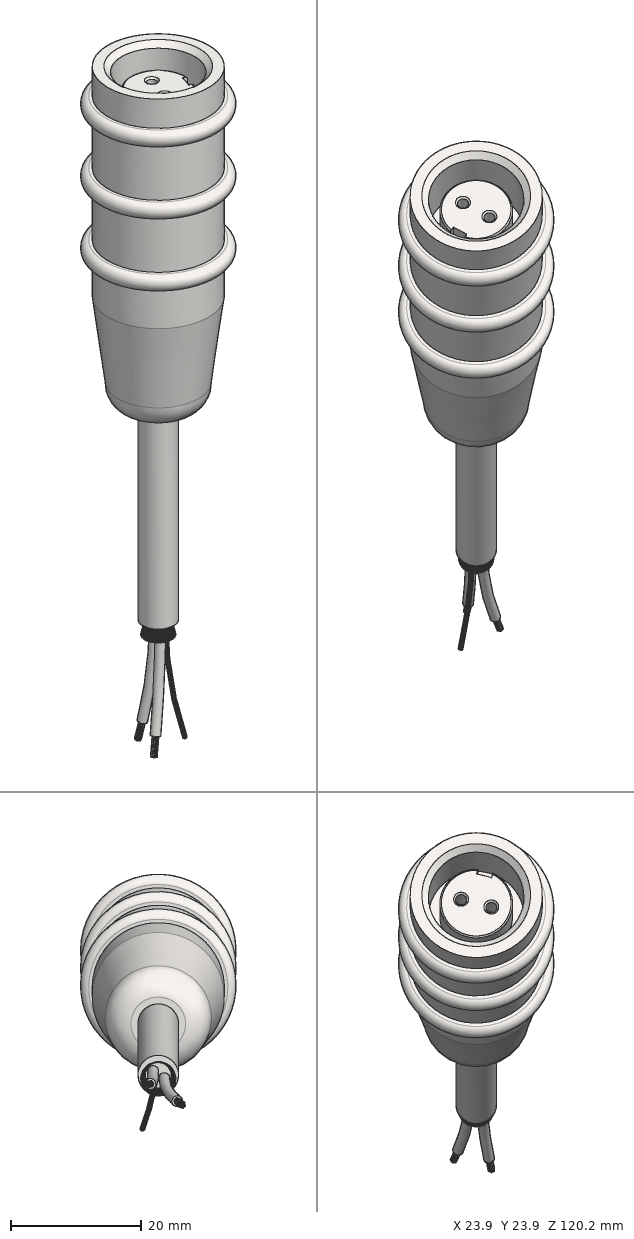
import cadquery as cq
import math

TOP = 120.2

BODY_DIA = 20.3
RING_DIA = 23.9
RING_HEIGHT = 2.9
RING_SIDE_DIA = 21.4
RING_COUNT = 3
RING_PITCH = 12.7
FIRST_RING_DROP = 6.6
TAPER_START_DROP = 40.6
TAPER_END_DROP = 55.8
BODY_LENGTH = 60.2
TAPER_END_DIA = 16.3
BODY_END_DIA = 8.4

BORE_DIA = 14.7
BORE_DEPTH = 10.0
MOUTH_DIA = 16.7
MOUTH_DEPTH = 1.0
INSERT_DIA = 11.2
INSERT_CHAMFER = 0.2
INSERT_DROP = 3.7
KEYWAY_WIDTH = 2.4
KEYWAY_DEPTH = 1.0
CONTACT_SPACING = 4.8
CONTACT_DIA = 1.7
CONTACT_MOUTH_DIA = 2.3
CONTACT_DEPTH = 4.8

CABLE_DIA = 6.2
CABLE_END_DROP = 97.8
EMBED = 0.6
WIRE_SPACING = 2.0
WIRE_OFFSET_Y = -0.1
INSULATION_DIA = 1.7
INSULATION_LENGTH = 19.0
LEFT_WIRE_AZIMUTH = 225
RIGHT_WIRE_AZIMUTH = 315
CONDUCTOR_LENGTH = 3.5
WIRE_BEND_RADIUS = 87.7
DRAIN_LENGTH = 22.2
DRAIN_BEND_RADIUS = 74.5
DRAIN_OFFSET_Y = 1.2
DRAIN_AZIMUTH = 90

BUNDLE_LAYERS = 2
STRAND_GAP = 0.02
CONDUCTOR_STRAND_DIA = 0.2
DRAIN_STRAND_DIA = 0.13
BRAID_STRAND_DIA = 0.13
BRAID_STRANDS = 72
BRAID_START_DIA = 4.1
BRAID_END_DIA = 5.3
BRAID_LENGTH = 2.6

CABLE_END = TOP - CABLE_END_DROP
BODY_END = TOP - BODY_LENGTH


def make_body():
    """Round grip: straight barrel, taper and rounded lower end."""
    end_height = BODY_LENGTH - TAPER_END_DROP
    end_width = (TAPER_END_DIA - BODY_END_DIA) / 2
    arc_middle = (
        BODY_END_DIA / 2 + end_width * math.sin(math.pi / 4),
        BODY_END + end_height * (1 - math.cos(math.pi / 4)),
    )
    return (
        cq.Workplane("XZ")
        .moveTo(0, TOP)
        .lineTo(BODY_DIA / 2, TOP)
        .lineTo(BODY_DIA / 2, TOP - TAPER_START_DROP)
        .lineTo(TAPER_END_DIA / 2, TOP - TAPER_END_DROP)
        .threePointArc(arc_middle, (BODY_END_DIA / 2, BODY_END))
        .lineTo(0, BODY_END)
        .close()
        .revolve(360, (0, 0), (0, 1))
    )


def make_ring(index):
    """Grip ring with flat sides and a round crest."""
    middle = TOP - FIRST_RING_DROP - index * RING_PITCH
    return (
        cq.Workplane("XZ", origin=(0, 0, middle))
        .moveTo(0, -RING_HEIGHT / 2)
        .lineTo(RING_SIDE_DIA / 2, -RING_HEIGHT / 2)
        .threePointArc((RING_DIA / 2, 0), (RING_SIDE_DIA / 2, RING_HEIGHT / 2))
        .lineTo(0, RING_HEIGHT / 2)
        .close()
        .revolve(360, (0, 0), (0, 1))
    )


def make_socket_cut():
    """Bore with a flared mouth, leaving the keyed insert standing in the middle."""
    bore_floor = TOP - BORE_DEPTH
    bore = (
        cq.Workplane("XZ")
        .moveTo(0, TOP)
        .lineTo(MOUTH_DIA / 2, TOP)
        .lineTo(BORE_DIA / 2, TOP - MOUTH_DEPTH)
        .lineTo(BORE_DIA / 2, bore_floor)
        .lineTo(0, bore_floor)
        .close()
        .revolve(360, (0, 0), (0, 1))
    )
    insert_height = BORE_DEPTH - INSERT_DROP
    insert = cq.Workplane(origin=(0, 0, bore_floor)).circle(INSERT_DIA / 2).extrude(insert_height)
    keyway = (
        cq.Workplane(origin=(0, INSERT_DIA / 2, bore_floor))
        .rect(KEYWAY_WIDTH, 2 * KEYWAY_DEPTH)
        .extrude(insert_height)
    )
    insert = insert.cut(keyway).faces(">Z").edges("%CIRCLE").chamfer(INSERT_CHAMFER)
    return bore.cut(insert)


def make_contact_hole(x):
    """Countersunk contact hole with a conical end."""
    face = TOP - INSERT_DROP
    radius = CONTACT_DIA / 2
    mouth_radius = CONTACT_MOUTH_DIA / 2
    return (
        cq.Workplane("XZ", origin=(x, 0, face))
        .lineTo(mouth_radius, 0)
        .lineTo(radius, radius - mouth_radius)
        .lineTo(radius, -CONTACT_DEPTH)
        .lineTo(0, -CONTACT_DEPTH - radius)
        .close()
        .revolve(360, (0, 0), (0, 1))
    )


def bundle_points(strand_dia):
    """Centres of round strands packed in hexagonal layers."""
    pitch = strand_dia + STRAND_GAP
    points = []
    for row in range(-BUNDLE_LAYERS, BUNDLE_LAYERS + 1):
        row_count = 2 * BUNDLE_LAYERS + 1 - abs(row)
        for column in range(row_count):
            x = (column - (row_count - 1) / 2) * pitch
            points.append((x, row * pitch * math.sin(math.pi / 3)))
    return points


def make_curved_run(points, diameter, length, bend_radius):
    """Round strands bending toward +X while running down from the cable end."""
    start = cq.Workplane(origin=(0, 0, CABLE_END))
    stub = start.pushPoints(points).circle(diameter / 2).extrude(EMBED)
    bend = (
        start.pushPoints(points)
        .circle(diameter / 2)
        .revolve(math.degrees(length / bend_radius), (bend_radius, 0), (bend_radius, -1))
    )
    return stub.union(bend)


def make_wire():
    """Insulated wire with a bare stranded end, bending toward +X."""
    insulation = make_curved_run([(0, 0)], INSULATION_DIA, INSULATION_LENGTH, WIRE_BEND_RADIUS)
    angle = INSULATION_LENGTH / WIRE_BEND_RADIUS
    tip = (
        WIRE_BEND_RADIUS * (1 - math.cos(angle)),
        0,
        CABLE_END - WIRE_BEND_RADIUS * math.sin(angle),
    )
    direction = cq.Vector(math.sin(angle), 0, -math.cos(angle))
    tip_plane = cq.Plane(tip, (0, 1, 0), direction)
    strands = (
        cq.Workplane(tip_plane)
        .workplane(offset=-EMBED)
        .pushPoints(bundle_points(CONDUCTOR_STRAND_DIA))
        .circle(CONDUCTOR_STRAND_DIA / 2)
        .extrude(EMBED + CONDUCTOR_LENGTH)
    )
    return insulation.union(strands)


def make_braid():
    """Cut screen strands flaring out below the cable end."""
    flare = (BRAID_END_DIA - BRAID_START_DIA) / 2
    direction = cq.Vector(flare, 0, -BRAID_LENGTH)
    start = cq.Vector(BRAID_START_DIA / 2, 0, CABLE_END)
    root = start - direction.normalized() * EMBED
    strand = cq.Solid.makeCylinder(BRAID_STRAND_DIA / 2, EMBED + direction.Length, root, direction)
    step = 360 / BRAID_STRANDS
    return [turned(cq.Workplane(strand), index * step) for index in range(BRAID_STRANDS)]


def turned(shape, angle):
    """Shape turned about the Z axis."""
    return shape.rotate((0, 0, 0), (0, 0, 1), angle)


result = make_body()
for ring_index in range(RING_COUNT):
    result = result.union(make_ring(ring_index))
result = result.cut(make_socket_cut())
for side in (-1, 1):
    result = result.cut(make_contact_hole(side * CONTACT_SPACING / 2))

cable = cq.Workplane(origin=(0, 0, CABLE_END)).circle(CABLE_DIA / 2).extrude(BODY_END + EMBED - CABLE_END)
for strand in make_braid():
    cable = cable.union(strand)
wire = make_wire()
for side, azimuth in ((-1, LEFT_WIRE_AZIMUTH), (1, RIGHT_WIRE_AZIMUTH)):
    cable = cable.union(turned(wire, azimuth).translate((side * WIRE_SPACING / 2, WIRE_OFFSET_Y, 0)))
drain = make_curved_run(bundle_points(DRAIN_STRAND_DIA), DRAIN_STRAND_DIA, DRAIN_LENGTH, DRAIN_BEND_RADIUS)
cable = cable.union(turned(drain, DRAIN_AZIMUTH).translate((0, DRAIN_OFFSET_Y, 0)))
result = result.union(cable)